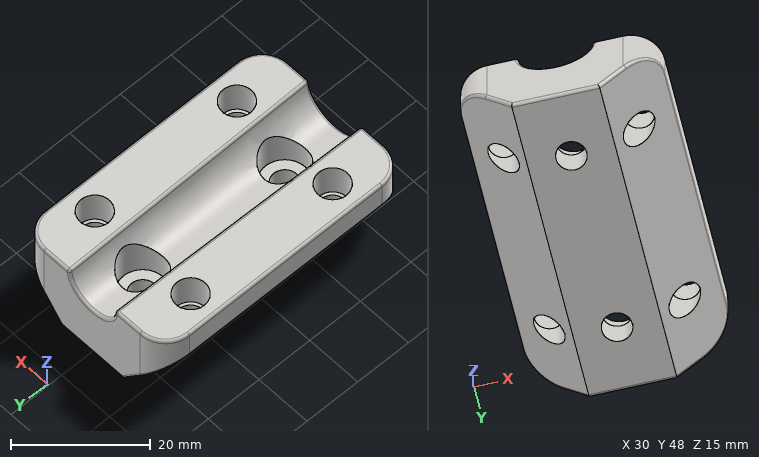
import cadquery as cq

width = 30.0
length = 48.0
height = 15.0
corner_radius = 5.0
side_height = 5.0
bottom_width = 12.95
edge_radius = 0.5

groove_front_radius = 5.45
groove_back_radius = 4.75

hole_diameter = 4.5
hole_spacing_x = 10.0
hole_spacing_y = 28.05
side_bore_diameter = 5.6
side_bore_depth = 6.0
center_bore_diameter = 8.0
center_bore_depth = 10.0


def make_block():
    """Rounded rectangular block whose long sides slope in to a narrow base."""
    plan = (
        cq.Workplane("XY")
        .rect(width, length)
        .extrude(-height)
        .edges("|Z")
        .fillet(corner_radius)
    )
    profile = (
        cq.Workplane("XZ")
        .polyline([
            (-width / 2, 0),
            (width / 2, 0),
            (width / 2, -side_height),
            (bottom_width / 2, -height),
            (-bottom_width / 2, -height),
            (-width / 2, -side_height),
        ])
        .close()
        .extrude(length / 2, both=True)
    )
    return plan.intersect(profile)


def make_groove():
    """Cone that is widest at the -Y end of the block."""
    return cq.Workplane(
        cq.Solid.makeCone(
            groove_front_radius,
            groove_back_radius,
            length,
            pnt=cq.Vector(0, -length / 2, 0),
            dir=cq.Vector(0, 1, 0),
        )
    )


def make_bored_hole(x, y, bore_diameter, bore_depth):
    """Cutter for a vertical through hole with a wider bore from the top."""
    axis = cq.Workplane("XY").center(x, y)
    hole = axis.circle(hole_diameter / 2).extrude(-height)
    bore = axis.circle(bore_diameter / 2).extrude(-bore_depth)
    return hole.union(bore)


def round_edges(body):
    """Round the top rim, the groove and the rim of the sloped underside.

    The upright seams of the rounded corners and the two long creases
    between the base and the slopes are left as they are.
    """
    return body.edges("not (|Z or (|Y and <Z))").fillet(edge_radius)


result = round_edges(make_block().cut(make_groove()))

for row_y in (-hole_spacing_y / 2, hole_spacing_y / 2):
    result = result.cut(make_bored_hole(0, row_y, center_bore_diameter, center_bore_depth))
    for side_x in (-hole_spacing_x, hole_spacing_x):
        result = result.cut(make_bored_hole(side_x, row_y, side_bore_diameter, side_bore_depth))